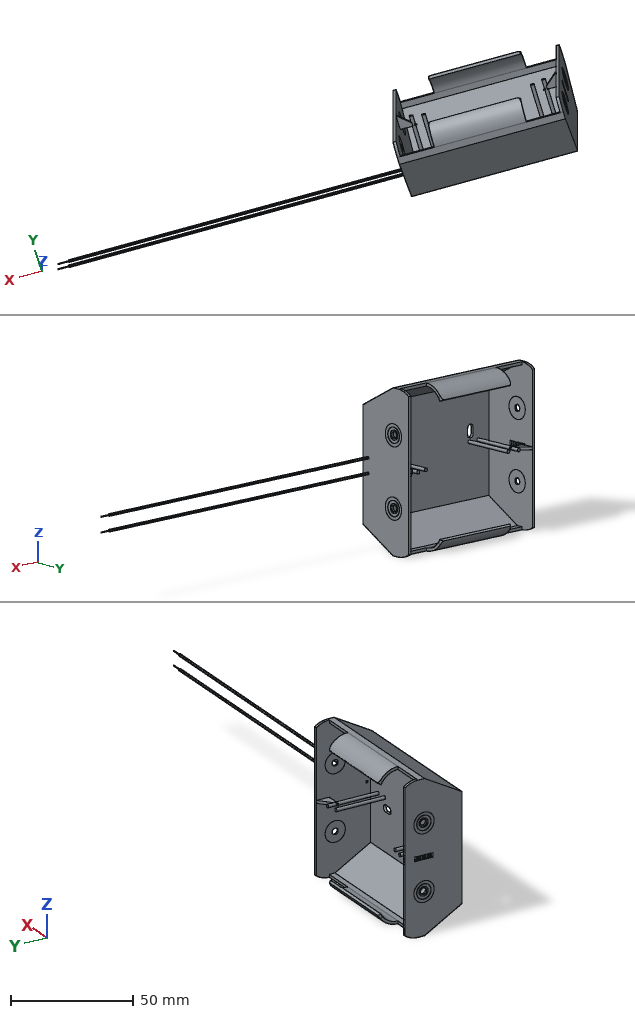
import cadquery as cq
import math

SIDE = 70.8
HALF = SIDE / 2
TOTAL_LENGTH = 220.5
TOTAL_DEPTH = 30.5
WALL = 1.3
FRONT_HALF_HEIGHT = 25.1
SLOPE_DEPTH = 18.0
RIM_DEPTH = 21.2
PLATE_DEPTH = 27.3
CURL_RADIUS = 10.4

TAB_WIDTH = 39.2
TAB_CORNER = 1.3

SLOT_LENGTH = 5.7
SLOT_WIDTH = 3.0
UPRIGHT_SLOT = (-23.8, 4.5)
LEVEL_SLOT = (21.2, -4.6)

GROMMET_OFFSET = 15.5
GROMMET_DEPTH = 18.3
GROMMET_DIAMETER = 9.7
RECESS_DIAMETER = 6.8
STEP_DIAMETER = 4.2
BORE_DIAMETER = 2.9
RECESS_FLOOR = 1.0
STEP_FLOOR = 0.9

SLIT_COUNT = 7
SLIT_PITCH = 1.3
SLIT_WIDTH = 0.9
SLIT_HEIGHT = 2.0

POST_DIAMETER = 1.5
OUTER_POST = (28.2, 25.5)
INNER_POST = (23.2, 24.7)
GUSSET_LENGTH = 7.0

WIRE_OFFSET = 3.3
WIRE_DEPTH = 3.0
INSULATION_DIAMETER = 1.0
CORE_DIAMETER = 0.5
BARE_LENGTH = 4.6
WIRE_START = HALF - WALL
WIRE_END = TOTAL_LENGTH - HALF


def curl_point(radius, depth):
    """Point at the given depth on the upper roll, whose centre lies below the rim edge."""
    rise = math.sqrt(radius**2 - (depth - RIM_DEPTH) ** 2)
    return depth, HALF - CURL_RADIUS + rise


def curl_mid(radius, depth):
    """Point halfway along the upper roll between the rim edge and the given depth."""
    angle = math.asin((depth - RIM_DEPTH) / radius) / 2
    return RIM_DEPTH + radius * math.sin(angle), HALF - CURL_RADIUS + radius * math.cos(angle)


def mirrored(point):
    return point[0], -point[1]


def x_block(sketch, length):
    return sketch.extrude(length / 2, both=True)


def end_profile():
    corner = curl_point(CURL_RADIUS, PLATE_DEPTH)
    middle = curl_mid(CURL_RADIUS, PLATE_DEPTH)
    return (
        cq.Workplane("YZ")
        .moveTo(0, -FRONT_HALF_HEIGHT)
        .lineTo(0, FRONT_HALF_HEIGHT)
        .lineTo(SLOPE_DEPTH, HALF)
        .lineTo(RIM_DEPTH, HALF)
        .threePointArc(middle, corner)
        .lineTo(*mirrored(corner))
        .threePointArc(mirrored(middle), (RIM_DEPTH, -HALF))
        .lineTo(SLOPE_DEPTH, -HALF)
        .close()
    )


def cavity():
    slope = math.atan2(HALF - FRONT_HALF_HEIGHT, SLOPE_DEPTH)
    front_z = FRONT_HALF_HEIGHT + WALL * math.tan(slope) - WALL / math.cos(slope)
    top_z = HALF - WALL
    top_y = WALL + (top_z - front_z) / math.tan(slope)
    profile = (
        cq.Workplane("YZ")
        .polyline([
            (WALL, -front_z), (WALL, front_z), (top_y, top_z), (TOTAL_DEPTH, top_z),
            (TOTAL_DEPTH, -top_z), (top_y, -top_z),
        ])
        .close()
    )
    return x_block(profile, SIDE - 2 * WALL)


def open_back():
    """Space behind the long walls, between the end plates."""
    depth = TOTAL_DEPTH - RIM_DEPTH
    length = SIDE - 2 * WALL
    return (
        cq.Workplane("XY", origin=(0, RIM_DEPTH, 0))
        .box(length, depth, SIDE, centered=(True, False, True))
    )


def snap_tab():
    """Curled tab on the upper rim; the inner roll ends on the same radius as the outer one."""
    inner = CURL_RADIUS - WALL
    tip = curl_point(CURL_RADIUS, TOTAL_DEPTH)
    inner_depth = RIM_DEPTH + (TOTAL_DEPTH - RIM_DEPTH) * inner / CURL_RADIUS
    root = SLOPE_DEPTH + WALL
    profile = (
        cq.Workplane("YZ")
        .moveTo(root, HALF)
        .lineTo(RIM_DEPTH, HALF)
        .threePointArc(curl_mid(CURL_RADIUS, TOTAL_DEPTH), tip)
        .lineTo(*curl_point(inner, inner_depth))
        .threePointArc(curl_mid(inner, inner_depth), (RIM_DEPTH, HALF - WALL))
        .lineTo(root, HALF - WALL)
        .close()
    )
    corners = (
        cq.Workplane("XZ")
        .rect(TAB_WIDTH, SIDE)
        .extrude(-TOTAL_DEPTH)
        .edges("|Z and >Y")
        .fillet(TAB_CORNER)
    )
    return x_block(profile, TAB_WIDTH).intersect(corners)


def mounting_slot(place, angle):
    return (
        cq.Workplane("XZ", origin=(place[0], 0, place[1]))
        .slot2D(SLOT_LENGTH, SLOT_WIDTH, angle)
        .extrude(-WALL)
    )


def vent_slits():
    return (
        cq.Workplane("YZ", origin=(-HALF, GROMMET_DEPTH, 0))
        .rarray(SLIT_PITCH, 2.2, SLIT_COUNT, 1)
        .rect(SLIT_WIDTH, SLIT_HEIGHT)
        .extrude(WALL)
    )


def post(x, tip_depth):
    return (
        cq.Workplane("XZ", origin=(x, WALL, 0))
        .circle(POST_DIAMETER / 2)
        .extrude(WALL - tip_depth)
    )


def gusset(side):
    """Triangular web at mid-height between an end plate and the open back."""
    plate = side * (HALF - WALL)
    toe = plate - side * GUSSET_LENGTH
    return (
        cq.Workplane("XY")
        .polyline([(plate, PLATE_DEPTH), (plate, RIM_DEPTH), (toe, RIM_DEPTH)])
        .close()
        .extrude(WALL / 2, both=True)
    )


def x_rod(start, end, diameter, depth, z):
    return cq.Workplane("YZ", origin=(start, depth, z)).circle(diameter / 2).extrude(end - start)


def make_housing():
    body = x_block(end_profile(), SIDE).cut(cavity()).cut(open_back())
    tab = snap_tab()
    body = body.union(tab).union(tab.mirror("XY"))
    body = body.cut(mounting_slot(UPRIGHT_SLOT, 90)).cut(mounting_slot(LEVEL_SLOT, 0)).cut(vent_slits())
    for side in (-1, 1):
        body = body.union(gusset(side))
        for distance, tip_depth in (OUTER_POST, INNER_POST):
            body = body.union(post(side * distance, tip_depth))
        for z in (-GROMMET_OFFSET, GROMMET_OFFSET):
            body = body.cut(x_rod(side * HALF, side * (HALF - WALL), GROMMET_DIAMETER, GROMMET_DEPTH, z))
    for z in (-WIRE_OFFSET, WIRE_OFFSET):
        body = body.cut(x_rod(WIRE_START, HALF, INSULATION_DIAMETER, WIRE_DEPTH, z))
    return body


def make_grommet(side, z):
    """Stepped disc flush with both faces of its end plate, stepped on the outside."""
    inside = side * (HALF - WALL)
    outside = side * HALF
    disc = x_rod(inside, outside, GROMMET_DIAMETER, GROMMET_DEPTH, z)
    disc = disc.cut(x_rod(inside + side * RECESS_FLOOR, outside, RECESS_DIAMETER, GROMMET_DEPTH, z))
    disc = disc.cut(x_rod(inside + side * STEP_FLOOR, outside, STEP_DIAMETER, GROMMET_DEPTH, z))
    return disc.cut(x_rod(inside, outside, BORE_DIAMETER, GROMMET_DEPTH, z))


def make_core(z):
    return x_rod(WIRE_START, WIRE_END, CORE_DIAMETER, WIRE_DEPTH, z)


def make_insulation(z):
    sleeve = x_rod(WIRE_START, WIRE_END - BARE_LENGTH, INSULATION_DIAMETER, WIRE_DEPTH, z)
    return sleeve.cut(make_core(z))


housing = make_housing()
grommets = [make_grommet(side, z) for side in (-1, 1) for z in (-GROMMET_OFFSET, GROMMET_OFFSET)]
insulations = [make_insulation(z) for z in (-WIRE_OFFSET, WIRE_OFFSET)]
cores = [make_core(z) for z in (-WIRE_OFFSET, WIRE_OFFSET)]

result = cq.Compound.makeCompound(
    [housing.val()] + [body.val() for body in grommets + insulations + cores]
)